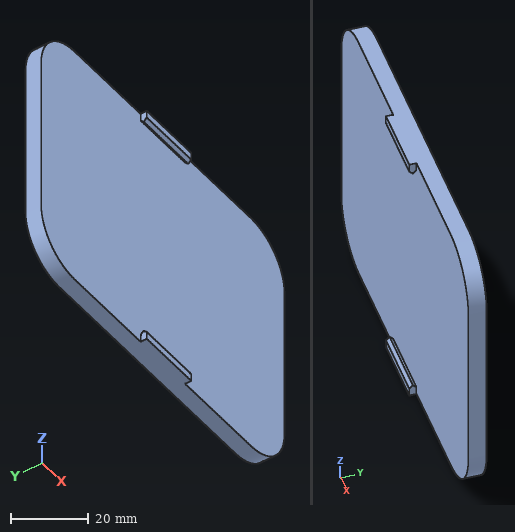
import cadquery as cq

plate_length = 109.0
plate_height = 80.0
plate_thickness = 5.0
corner_radius = 15.0

lug_length = 20.0
lug_depth = 2.0
lug_shoulder = 2.4
lug_tip = lug_depth / 2


def make_plate():
    """Plate with its front face on Y = 0 and its back towards +Y."""
    return (
        cq.Workplane("XY")
        .box(plate_length, plate_thickness, plate_height)
        .edges("|Y")
        .fillet(corner_radius)
        .translate((0, plate_thickness / 2, 0))
    )


def make_lug(side):
    """Lug flush with the top (side = 1) or bottom (side = -1) edge, pointing inwards."""
    edge_z = side * plate_height / 2
    shoulder_z = edge_z - side * lug_shoulder
    tip_z = shoulder_z - side * lug_tip
    profile = [
        (0, edge_z),
        (-lug_depth, edge_z),
        (-lug_depth, shoulder_z),
        (-lug_depth / 2, tip_z),
        (0, shoulder_z),
    ]
    return cq.Workplane("YZ").polyline(profile).close().extrude(lug_length / 2, both=True)


result = make_plate()
for side in (1, -1):
    result = result.union(make_lug(side))